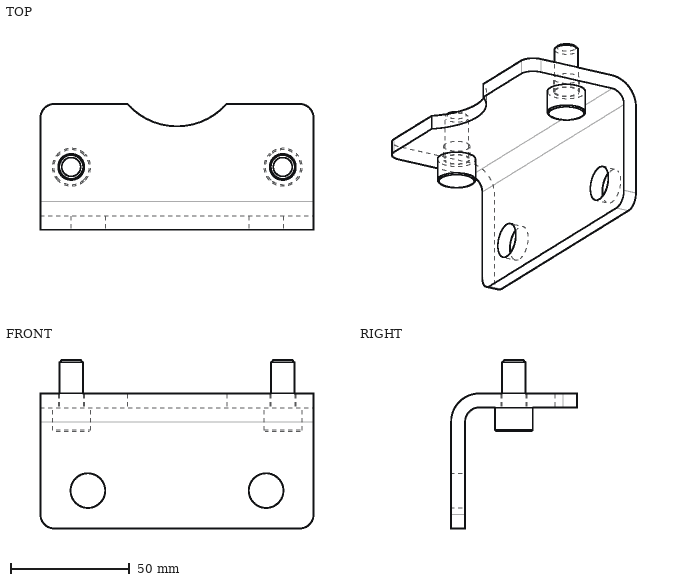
import cadquery as cq

width = 115.0
depth = 53.0
height = 56.9
thickness = 6.0
bend_outer_radius = 12.0
bend_inner_radius = bend_outer_radius - thickness
corner_radius = 6.0

mount_hole_diameter = 14.5
mount_hole_spacing = 75.0
mount_hole_height = 16.0

notch_radius = 27.8
notch_depth = 9.4

bolt_spacing = 89.0
bolt_y = 26.5
shank_diameter = 10.0
clearance_diameter = 11.0
shank_projection = 14.0
tip_chamfer = 1.0
head_diameter = 16.0
head_height = 10.0
head_chamfer = 0.6

leg_underside = height - thickness


def mirrored_x(spacing):
    """X positions of a pair placed symmetrically about the middle of the bracket."""
    return [-spacing / 2, spacing / 2]


def bent_plate():
    """L-shaped plate with concentric bend radii and rounded free corners."""
    plate = (
        cq.Workplane("YZ")
        .moveTo(0, 0)
        .lineTo(0, height - bend_outer_radius)
        .radiusArc((bend_outer_radius, height), bend_outer_radius)
        .lineTo(depth, height)
        .lineTo(depth, leg_underside)
        .lineTo(bend_outer_radius, leg_underside)
        .radiusArc((thickness, height - bend_outer_radius), -bend_inner_radius)
        .lineTo(thickness, 0)
        .close()
        .extrude(width / 2, both=True)
    )
    plate = plate.faces(">Y").edges("|Z").fillet(corner_radius)
    return plate.faces("<Z").edges("|Y").fillet(corner_radius)


def mount_holes():
    """Cutters through the vertical leg."""
    points = [(x, mount_hole_height) for x in mirrored_x(mount_hole_spacing)]
    return (
        cq.Workplane("XZ")
        .pushPoints(points)
        .circle(mount_hole_diameter / 2)
        .extrude(-thickness)
    )


def bolt_holes():
    """Clearance cutters through the horizontal leg."""
    points = [(x, bolt_y) for x in mirrored_x(bolt_spacing)]
    return (
        cq.Workplane("XY", origin=(0, 0, leg_underside))
        .pushPoints(points)
        .circle(clearance_diameter / 2)
        .extrude(thickness)
    )


def rear_notch():
    """Cylindrical cutter whose axis lies behind the rear edge."""
    notch_center_y = depth - notch_depth + notch_radius
    return (
        cq.Workplane("XY", origin=(0, notch_center_y, leg_underside))
        .circle(notch_radius)
        .extrude(thickness)
    )


def make_bracket():
    return bent_plate().cut(mount_holes()).cut(bolt_holes()).cut(rear_notch())


def make_bolt(x):
    """Bolt with its head seated against the underside of the horizontal leg."""
    seat = cq.Workplane("XY", origin=(x, bolt_y, leg_underside))
    head = (
        seat.circle(head_diameter / 2)
        .extrude(-head_height)
        .faces("<Z")
        .chamfer(head_chamfer)
    )
    shank = (
        seat.circle(shank_diameter / 2)
        .extrude(thickness + shank_projection)
        .faces(">Z")
        .chamfer(tip_chamfer)
    )
    return head.union(shank)


bracket = make_bracket()
bolts = [make_bolt(x) for x in mirrored_x(bolt_spacing)]

result = cq.Compound.makeCompound([bracket.val(), *[bolt.val() for bolt in bolts]])